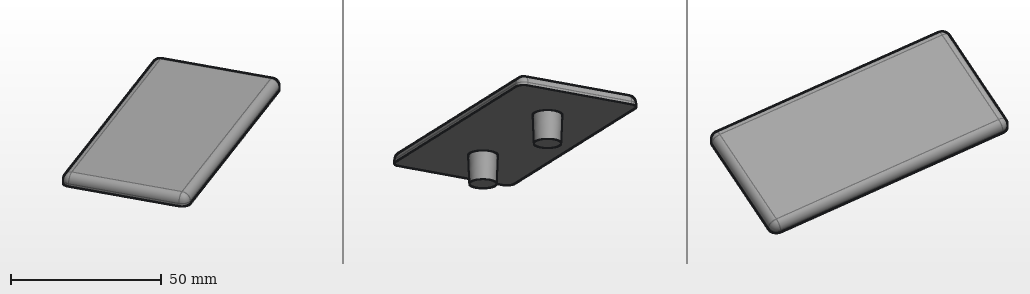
import cadquery as cq

plate_width = 45.0
plate_length = 90.0
plate_thickness = 4.05
edge_radius = 3.0

peg_height = 10.0
peg_root_diameter = 9.9
peg_tip_diameter = 9.1
peg_spacing = plate_length / 2


def make_plate():
    """Rectangular plate with rounded corners and a rounded upper rim."""
    plate = cq.Workplane("XY").box(
        plate_width, plate_length, plate_thickness, centered=(True, True, False)
    )
    return plate.edges("|Z or >Z").fillet(edge_radius)


def make_peg(y_position):
    """Round peg that narrows downward from the underside of the plate."""
    return (
        cq.Workplane("XY")
        .center(0, y_position)
        .circle(peg_root_diameter / 2)
        .workplane(offset=-peg_height)
        .circle(peg_tip_diameter / 2)
        .loft(ruled=True)
    )


result = make_plate()
for side in (-1, 1):
    result = result.union(make_peg(side * peg_spacing / 2))